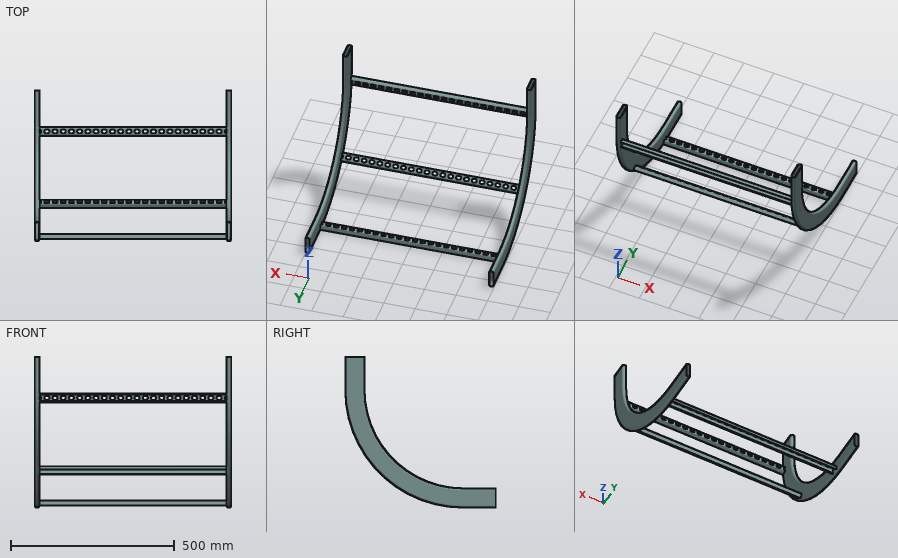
import cadquery as cq
import math

overall_length = 600.0
rail_thickness = 15.0
rail_depth = 60.0
rail_wall = 2.0
bend_outer_radius = 360.0
straight_length = 100.0
rail_reach = bend_outer_radius + straight_length
bend_middle_radius = bend_outer_radius - rail_depth / 2

rung_length = overall_length - 2 * rail_thickness
rung_height = 15.5
rung_sheet = 1.0
web_half_width = 10.0
flange_angle = 18
lip_half_gap = 9.0
web_bend_radius = 2.1
lip_bend_radius = 2.5

rung_place_radius = 346.0
end_rung_angle = 4.1
middle_rung_angle = 45
quarter_turn = 90

slot_pitch = 25.0
slot_count = 24
slot_length = 15.0
slot_width = 11.0


def flat_oval_bar(x_middle, depth, thickness):
    """Flat oval bar swept along a rail's centre line."""
    path = (
        cq.Workplane("YZ", origin=(x_middle, 0, 0))
        .moveTo(rail_depth / 2, rail_reach)
        .lineTo(rail_depth / 2, bend_outer_radius)
        .radiusArc((bend_outer_radius, rail_depth / 2), -bend_middle_radius)
        .lineTo(rail_reach, rail_depth / 2)
    )
    section = cq.Workplane("XY", origin=(x_middle, rail_depth / 2, rail_reach))
    return section.slot2D(depth, thickness, quarter_turn).sweep(path)


def make_rail(x_middle):
    """Hollow flat oval rail, open at both ends."""
    outside = flat_oval_bar(x_middle, rail_depth, rail_thickness)
    bore = flat_oval_bar(x_middle, rail_depth - 2 * rail_wall, rail_thickness - 2 * rail_wall)
    return outside.cut(bore)


def mirrored(points):
    """The same run of points on the -Y half, in the opposite order."""
    return [(-across, up) for across, up in reversed(points)]


def make_channel():
    """Folded channel along X: web on top, flanges spreading downwards, lips turned in below."""
    lean = math.radians(flange_angle)
    sheet_across = rung_sheet / math.cos(lean)
    lip_top = rung_sheet
    web_bottom = rung_height - rung_sheet

    def outer_half_width(up):
        return web_half_width + (rung_height - up) * math.tan(lean)

    def inner_half_width(up):
        return outer_half_width(up) - sheet_across

    outer_lip_corner = (outer_half_width(0), 0)
    outer_web_corner = (web_half_width, rung_height)
    inner_web_corner = (inner_half_width(web_bottom), web_bottom)
    inner_lip_corner = (inner_half_width(lip_top), lip_top)
    outside = [(lip_half_gap, 0), outer_lip_corner, outer_web_corner]
    inside = [inner_web_corner, inner_lip_corner, (lip_half_gap, lip_top)]
    channel = (
        cq.Workplane("YZ")
        .polyline(outside + mirrored(outside) + mirrored(inside) + inside)
        .close()
        .extrude(rung_length / 2, both=True)
    )

    bends = [
        (outer_lip_corner, lip_bend_radius),
        (outer_web_corner, web_bend_radius),
        (inner_web_corner, web_bend_radius - rung_sheet),
        (inner_lip_corner, lip_bend_radius - rung_sheet),
    ]
    for (across, up), radius in bends:
        for side in (-1, 1):
            corner = cq.selectors.NearestToPointSelector((0, side * across, up))
            channel = channel.edges("|X").edges(corner).fillet(radius)
    return channel


def make_slots():
    """Row of round-ended cutters through the web."""
    return (
        cq.Workplane("XY", origin=(0, 0, rung_height))
        .rarray(slot_pitch, 6, slot_count, 1)
        .slot2D(slot_length, slot_width)
        .extrude(-2 * rung_sheet)
    )


def make_rung(angle, tilt):
    """Slotted channel at an angle around the bend, tilted about X from having its web on top."""
    turn = math.radians(angle)
    place = (
        0,
        bend_outer_radius - rung_place_radius * math.cos(turn),
        bend_outer_radius - rung_place_radius * math.sin(turn),
    )
    rung = make_channel().cut(make_slots()).translate((0, 0, -rung_height / 2))
    return rung.rotate((0, 0, 0), (1, 0, 0), tilt).translate(place)


rail_offset = (overall_length - rail_thickness) / 2
rails = [make_rail(side * rail_offset) for side in (-1, 1)]

rung_places = [
    (end_rung_angle, -quarter_turn),
    (middle_rung_angle, middle_rung_angle - quarter_turn),
    (quarter_turn - end_rung_angle, 0),
]
rungs = [make_rung(angle, tilt) for angle, tilt in rung_places]

result = cq.Compound.makeCompound([body.solids().val() for body in rails + rungs])